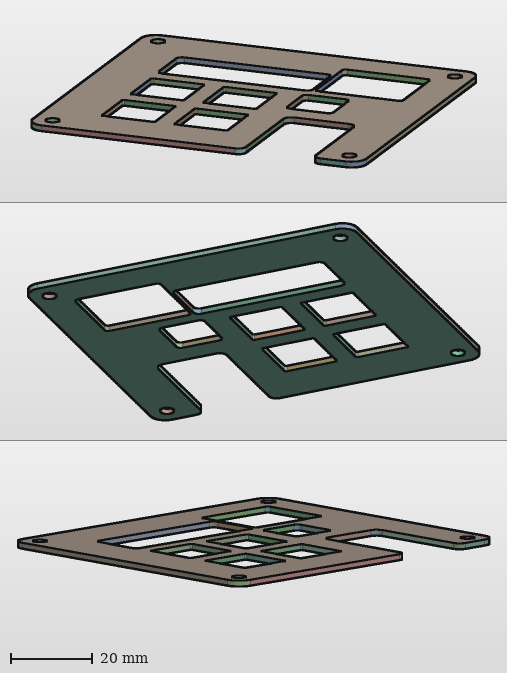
import cadquery as cq

length = 87.9
width = 79.7
thickness = 1.5
plate_corner_radius = 4.0

hole_diameter = 3.4
hole_inset = 4.9

key_size = 14.0
key_pitch = 19.1
key_corner_radius = 0.4
first_key_x = 21.6
first_key_y = 19.9
keys_per_side = 2

long_window = (34.5, 57.7, 40.45, 14.25, 1.5)
large_window = (67.0, 60.7, 22.95, 19.1, 1.0)
small_window = (60.2, 41.3, 12.1, 12.1, 1.2)

slot_left = 57.0
slot_width = 18.4
slot_depth = 28.9
slot_radius = 2.0


def make_plate():
    """Plate with the open slot and every outline corner rounded."""
    slot = cq.Workplane("XY").box(slot_width, slot_depth, thickness, centered=False)
    plate = cq.Workplane("XY").box(length, width, thickness, centered=False)
    plate = plate.edges("|Z").fillet(plate_corner_radius)
    plate = plate.cut(slot.translate((slot_left, 0, 0)))
    slot_corners = cq.selectors.BoxSelector(
        (slot_left - slot_radius, -slot_radius, 0),
        (slot_left + slot_width + slot_radius, slot_depth + slot_radius, thickness),
    )
    return plate.edges("|Z").edges(slot_corners).fillet(slot_radius)


def window_cutter(x, y, window_length, window_width, radius):
    """Rounded rectangular cutter centred on (x, y)."""
    block = cq.Workplane("XY").rect(window_length, window_width).extrude(thickness)
    return block.edges("|Z").fillet(radius).translate((x, y, 0))


result = make_plate()

for window in (long_window, large_window, small_window):
    result = result.cut(window_cutter(*window))

for column in range(keys_per_side):
    for row in range(keys_per_side):
        key_x = first_key_x + column * key_pitch
        key_y = first_key_y + row * key_pitch
        result = result.cut(window_cutter(key_x, key_y, key_size, key_size, key_corner_radius))

hole_centres = [
    (x, y)
    for x in (hole_inset, length - hole_inset)
    for y in (hole_inset, width - hole_inset)
]
holes = cq.Workplane("XY").pushPoints(hole_centres).circle(hole_diameter / 2).extrude(thickness)
result = result.cut(holes)